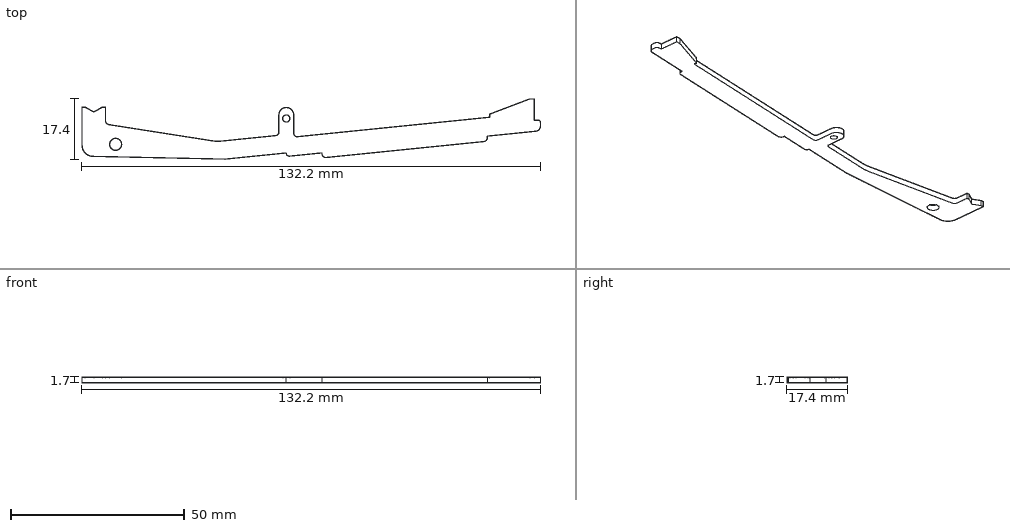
import cadquery as cq
import math

thickness = 1.7
length = 132.2
height = 17.43

arm_slope = math.tan(math.radians(5.78))
bend_x = 41.27
inner_top_rise = 5.38
outer_top_rise = 4.43
relief_rise = -1.02
belly_rise = -2.48

post_width = 6.8
post_top = 15.06
heel_slope = 0.021
heel_radius = 3.2
taper_slope = 0.1565
taper_meet_x = 38.9
post_fillet = 1.2
taper_fillet = 10.0
pivot_diameter = 3.4
pivot_center = (9.7, 4.3)

notch_land = 0.9
notch_depth = 1.4

tab_center_x = 58.9
tab_width = 4.35
tab_top = 14.95
tab_left = tab_center_x - tab_width / 2
tab_right = tab_center_x + tab_width / 2
tab_fillet = 0.9
tab_hole_diameter = 2.0
tab_hole_y = 11.75

relief_start_x = 58.87
belly_start_x = 69.15
belly_end_x = 116.9
relief_radius = 0.9
belly_radius = 1.2

head_start_x = 117.5
head_step_top = 13.03
head_land_x = 129.1
head_end_x = 130.45
toe_top = 11.3
toe_radius = 1.6
toe_top_fillet = 0.7


def arm_point(x, rise):
    """Point at x on the arm line lying `rise` above the line through the lower bend."""
    return (x, arm_slope * (x - bend_x) + rise)


def taper_point(x):
    """Point at x on the tapering upper edge between the post and the arm."""
    meet_x, meet_y = arm_point(taper_meet_x, inner_top_rise)
    return (x, meet_y + taper_slope * (meet_x - x))


def make_profile():
    """Closed outline of the plate, with its corners still sharp."""
    tab_shoulder = tab_top - tab_width / 2

    return (
        cq.Workplane("XY")
        .moveTo(0, heel_slope * bend_x)
        .lineTo(*arm_point(bend_x, 0))
        .lineTo(*arm_point(relief_start_x, 0))
        .lineTo(*arm_point(relief_start_x, relief_rise))
        .lineTo(*arm_point(belly_start_x, relief_rise))
        .lineTo(*arm_point(belly_start_x, belly_rise))
        .lineTo(*arm_point(belly_end_x, belly_rise))
        .lineTo(*arm_point(belly_end_x, relief_rise))
        .lineTo(*arm_point(length, relief_rise))
        .lineTo(length, toe_top)
        .lineTo(head_end_x, toe_top)
        .lineTo(head_end_x, height)
        .lineTo(head_land_x, height)
        .lineTo(head_start_x, head_step_top)
        .lineTo(*arm_point(head_start_x, outer_top_rise))
        .lineTo(*arm_point(tab_right, outer_top_rise))
        .lineTo(tab_right, tab_shoulder)
        .threePointArc((tab_center_x, tab_top), (tab_left, tab_shoulder))
        .lineTo(*arm_point(tab_left, inner_top_rise))
        .lineTo(*arm_point(taper_meet_x, inner_top_rise))
        .lineTo(*taper_point(post_width))
        .lineTo(post_width, post_top)
        .lineTo(post_width - notch_land, post_top)
        .lineTo(post_width / 2, post_top - notch_depth)
        .lineTo(notch_land, post_top)
        .lineTo(0, post_top)
        .close()
    )


def round_corner(plate, corner, radius):
    """Round the upright edge of the plate standing at the outline corner."""
    nearest = cq.selectors.NearestToPointSelector((*corner, thickness / 2))
    return plate.edges("|Z").edges(nearest).fillet(radius)


def drill(plate, center, diameter):
    """Cut a round hole through the plate."""
    return plate.cut(cq.Workplane("XY").center(*center).circle(diameter / 2).extrude(thickness))


rounded_corners = [
    ((0, heel_slope * bend_x), heel_radius),
    (taper_point(post_width), post_fillet),
    (arm_point(taper_meet_x, inner_top_rise), taper_fillet),
    (arm_point(tab_left, inner_top_rise), tab_fillet),
    (arm_point(tab_right, outer_top_rise), tab_fillet),
    (arm_point(relief_start_x, relief_rise), relief_radius),
    (arm_point(belly_start_x, belly_rise), belly_radius),
    (arm_point(belly_end_x, belly_rise), belly_radius),
    (arm_point(length, relief_rise), toe_radius),
    ((length, toe_top), toe_top_fillet),
]

plate = make_profile().extrude(thickness)
for corner, radius in rounded_corners:
    plate = round_corner(plate, corner, radius)

plate = drill(plate, pivot_center, pivot_diameter)
plate = drill(plate, (tab_center_x, tab_hole_y), tab_hole_diameter)

result = plate